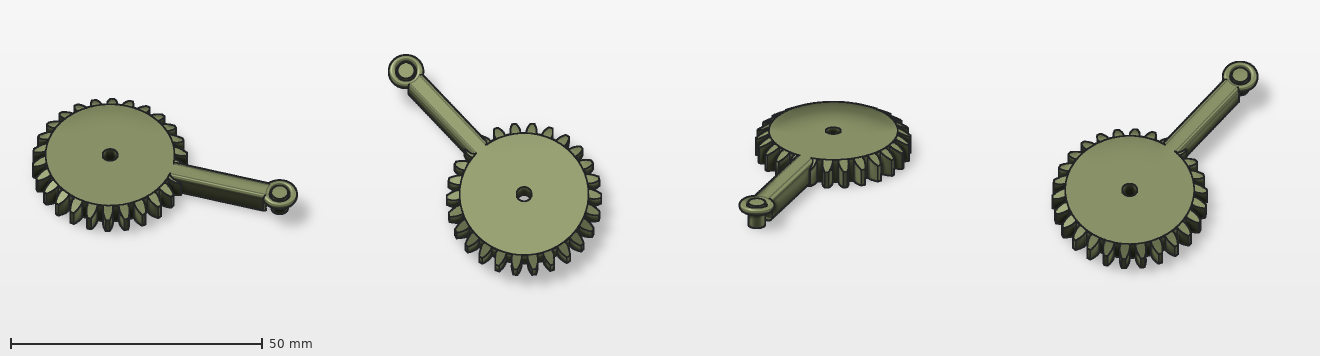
import cadquery as cq
import math

overall_length = 53.65
thickness = 5.0

tooth_count = 26
tip_radius = 15.4
pressure_angle = math.radians(20.0)
dedendum_factor = 1.25
bore_diameter = 3.0
crown_radius = 12.8
bevel_drop = 1.5
flank_points = 5

module = 2 * tip_radius / (tooth_count + 2)
pitch_radius = module * tooth_count / 2
root_radius = pitch_radius - dedendum_factor * module
base_radius = pitch_radius * math.cos(pressure_angle)
tooth_pitch = 360.0 / tooth_count

tube_radius = 0.75
ring_radius = 2.75
ring_height = thickness - tube_radius

arm_width = 4.0
arm_fillet = tube_radius
arm_angle = tooth_pitch / 2
ring_reach = overall_length - tip_radius - ring_radius - tube_radius
ring_distance = ring_reach / math.cos(math.radians(arm_angle))
arm_start = root_radius / 2

pin_diameter = 3.4


def involute_angle(angle):
    return math.tan(angle) - angle


def polar(radius, angle):
    return (radius * math.cos(angle), radius * math.sin(angle))


def half_tooth_angle(radius):
    """Half of the angle that a tooth spans at a radius on its involute flank."""
    half_at_pitch = math.pi / (2 * tooth_count)
    pressure_here = math.acos(base_radius / radius)
    return half_at_pitch + involute_angle(pressure_angle) - involute_angle(pressure_here)


def make_tooth():
    """One tooth on +X: radial flanks up to the base circle, then involutes to the tip."""
    step = (tip_radius - base_radius) / (flank_points - 1)
    radii = [base_radius + step * i for i in range(flank_points)]
    lower = [polar(r, -half_tooth_angle(r)) for r in radii]
    upper = [polar(r, half_tooth_angle(r)) for r in reversed(radii)]
    foot_angle = half_tooth_angle(base_radius)
    foot_radius = root_radius - module / 2
    return (
        cq.Workplane("XY")
        .moveTo(*polar(foot_radius, -foot_angle))
        .lineTo(*lower[0])
        .spline(lower[1:], includeCurrent=True)
        .threePointArc((tip_radius, 0), upper[0])
        .spline(upper[1:], includeCurrent=True)
        .lineTo(*polar(foot_radius, foot_angle))
        .close()
        .extrude(thickness)
    )


def make_wheel():
    """Toothed disc whose teeth are bevelled by a cone at the top."""
    wheel = cq.Workplane("XY").circle(root_radius).extrude(thickness)
    tooth = make_tooth()
    for i in range(tooth_count):
        wheel = wheel.union(tooth.rotate((0, 0, 0), (0, 0, 1), i * tooth_pitch))
    bevel_envelope = (
        cq.Workplane("XZ")
        .polyline([
            (0, 0),
            (tip_radius, 0),
            (tip_radius, thickness - bevel_drop),
            (crown_radius, thickness),
            (0, thickness),
        ])
        .close()
        .revolve(360, (0, 0), (0, 1))
    )
    return wheel.intersect(bevel_envelope)


def make_end_cutter():
    """Drum with rounded rims, concentric with the ring, that hollows the end of the arm."""
    return (
        cq.Workplane("XY")
        .circle(ring_radius + tube_radius)
        .extrude(thickness)
        .edges()
        .fillet(tube_radius)
        .translate((ring_distance, 0, 0))
    )


def make_arm():
    """Straight bar along +X with rounded long edges, ending against the ring."""
    bar = (
        cq.Workplane("XY")
        .rect(ring_distance - arm_start, arm_width)
        .extrude(thickness)
        .translate(((ring_distance + arm_start) / 2, 0, 0))
        .edges("|X")
        .fillet(arm_fillet)
    )
    return bar.cut(make_end_cutter())


def make_ring():
    ring = cq.Solid.makeTorus(ring_radius, tube_radius)
    return cq.Workplane(ring).translate((ring_distance, 0, ring_height))


def make_gear_lever():
    """Wheel, arm and ring in one piece, with the bore through the wheel."""
    lever = make_arm().union(make_ring()).rotate((0, 0, 0), (0, 0, 1), arm_angle)
    bore = cq.Workplane("XY").circle(bore_diameter / 2).extrude(thickness)
    return make_wheel().union(lever).cut(bore)


def make_pin():
    pin = cq.Workplane("XY").circle(pin_diameter / 2).extrude(thickness)
    return pin.translate((*polar(ring_distance, math.radians(arm_angle)), 0))


gear_lever = make_gear_lever()
pin = make_pin()

result = cq.Compound.makeCompound([gear_lever.val(), pin.val()])